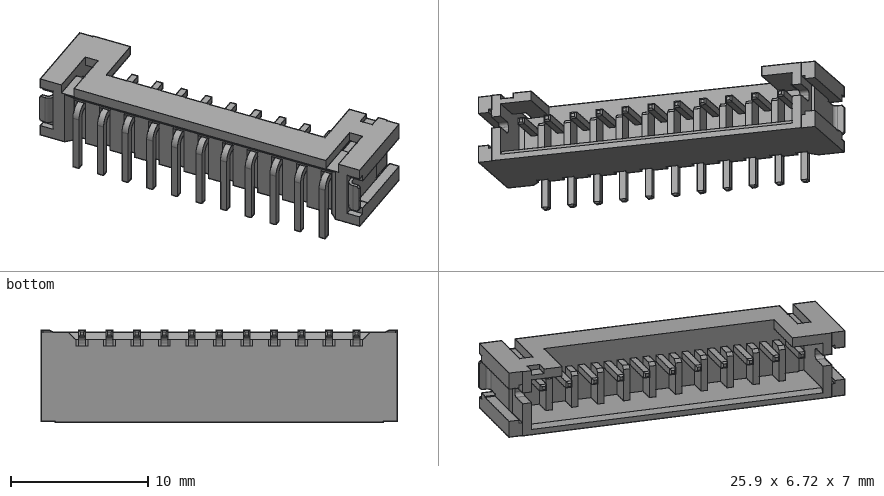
import cadquery as cq

HOUSING_LENGTH = 25.95
HOUSING_HEIGHT = 5.0
HOUSING_DEPTH = 6.56
FLANGE_DEPTH = 6.49
HALF_LENGTH = HOUSING_LENGTH / 2

PIN_COUNT = 11
PIN_PITCH = 2.0
PIN_SIZE = 0.5
PIN_TOP = 3.4
PIN_TIP_Y = 5.65
PIN_TIP_Z = -2.0
PIN_OVERHANG = 0.16
PIN_BEND_RADIUS = 0.95
PIN_TIP_CHAMFER = 0.13
PIN_XS = [(i - (PIN_COUNT - 1) / 2) * PIN_PITCH for i in range(PIN_COUNT)]

WALL = 0.72
CAVITY_BASE_Y = 2.59
CAVITY_HALF_LENGTH = 11.25
CAVITY_EDGE_CHAMFER = 0.3
ROOF_OPENING_HALF_LENGTH = 8.89
CORNER_RELIEF_LENGTH = 0.45
CORNER_RELIEF_DEPTH = 0.16

RIB_WIDTH = 0.5
RIB_END_Y = 4.0
RIB_CHAMFER = 0.24
RIB_TOP = PIN_TOP

RECESS_HALF_LENGTH = 11.0
RECESS_TOP = 4.23
RECESS_DEPTH = 0.52
PIN_SLOT_WIDTH = 0.86
PIN_SLOT_TOP = 3.55
PIN_SLOT_END_Y = 1.0

ROOF_SLOT_WIDTH = 1.03
ROOF_SLOT_LENGTH = 3.92
KEY_NOTCH_WIDTH = 0.97
KEY_NOTCH_LENGTH = 1.0
KEY_NOTCH_DEPTH = 0.35

CHANNEL_DEPTH = 1.03
CHANNEL_BOTTOM = 1.24
CHANNEL_TOP = 3.74
CHANNEL_MOUTH_BOTTOM = 0.83
CHANNEL_MOUTH_TOP = 4.22
CHANNEL_MOUTH_LENGTH = 0.48
CHANNEL_SILL_TOP = 1.32
CHANNEL_SILL_END_Y = 1.26
END_SLOT_BOTTOM = 2.5
END_SLOT_TOP = 3.34
END_SLOT_END_Y = 4.83
END_SLOT_RADIUS = 0.3

TAB_BOTTOM = 1.4
TAB_TOP = 3.58
TAB_THICKNESS = 0.25
TAB_BEND_RADIUS = 0.55
TAB_CORNER_CHAMFER = 0.15
TAB_PLATE_END_Y = 4.3
GROOVE_BOTTOM = 1.0
GROOVE_TOP = CHANNEL_TOP + CHANNEL_BOTTOM - GROOVE_BOTTOM


def box(x_range, y_range, z_range):
    """Axis-aligned box from its limits along X, Y and Z."""
    spans = (x_range, y_range, z_range)
    sizes = [high - low for low, high in spans]
    corner = [low for low, high in spans]
    return cq.Workplane("XY").box(*sizes, centered=False).translate(tuple(corner))


def both_ends(shape):
    """The shape together with its mirror image at the opposite end."""
    return shape.union(shape.mirror("YZ"))


def make_housing_block():
    flanges = box((-HALF_LENGTH, HALF_LENGTH), (0, FLANGE_DEPTH), (0, HOUSING_HEIGHT))
    core_half = HALF_LENGTH - CHANNEL_DEPTH
    core = box((-core_half, core_half), (0, HOUSING_DEPTH), (0, HOUSING_HEIGHT))
    return flanges.union(core)


def make_cavity():
    """Mating cavity, with a lead-in along the floor edge and an opening in the roof."""
    cavity = box(
        (-CAVITY_HALF_LENGTH, CAVITY_HALF_LENGTH),
        (CAVITY_BASE_Y, HOUSING_DEPTH),
        (WALL, HOUSING_HEIGHT - WALL),
    )
    opening = box(
        (-ROOF_OPENING_HALF_LENGTH, ROOF_OPENING_HALF_LENGTH),
        (CAVITY_BASE_Y, HOUSING_DEPTH),
        (WALL, HOUSING_HEIGHT),
    )
    corner_relief = box(
        (-CAVITY_HALF_LENGTH, -CAVITY_HALF_LENGTH + CORNER_RELIEF_LENGTH),
        (CAVITY_BASE_Y - CORNER_RELIEF_DEPTH, CAVITY_BASE_Y),
        (WALL, HOUSING_HEIGHT - WALL),
    )
    lead_in = (
        cq.Workplane("YZ")
        .moveTo(HOUSING_DEPTH - CAVITY_EDGE_CHAMFER, WALL)
        .lineTo(HOUSING_DEPTH, WALL)
        .lineTo(HOUSING_DEPTH, WALL - CAVITY_EDGE_CHAMFER)
        .close()
        .extrude(CAVITY_HALF_LENGTH, both=True)
    )
    return cavity.union(opening).union(both_ends(corner_relief)).union(lead_in)


def make_front_recess():
    """Recess open at the bottom, its top and ends sloping in at 45 degrees."""
    half_floor = RECESS_HALF_LENGTH - RECESS_DEPTH
    plan = (
        cq.Workplane("XY")
        .moveTo(-RECESS_HALF_LENGTH, 0)
        .lineTo(RECESS_HALF_LENGTH, 0)
        .lineTo(half_floor, RECESS_DEPTH)
        .lineTo(-half_floor, RECESS_DEPTH)
        .close()
        .extrude(RECESS_TOP)
    )
    profile = (
        cq.Workplane("YZ")
        .lineTo(RECESS_DEPTH, 0)
        .lineTo(RECESS_DEPTH, RECESS_TOP - RECESS_DEPTH)
        .lineTo(0, RECESS_TOP)
        .close()
        .extrude(RECESS_HALF_LENGTH, both=True)
    )
    return plan.intersect(profile)


def make_pin_slot(x):
    half = PIN_SLOT_WIDTH / 2
    return box((x - half, x + half), (0, PIN_SLOT_END_Y), (0, PIN_SLOT_TOP))


def make_roof_slots():
    slot = box(
        (-CAVITY_HALF_LENGTH, -CAVITY_HALF_LENGTH + ROOF_SLOT_WIDTH),
        (0, ROOF_SLOT_LENGTH),
        (HOUSING_HEIGHT - WALL, HOUSING_HEIGHT),
    )
    return both_ends(slot)


def make_key_notch():
    return box(
        (CAVITY_HALF_LENGTH - KEY_NOTCH_WIDTH, CAVITY_HALF_LENGTH),
        (HOUSING_DEPTH - KEY_NOTCH_LENGTH, HOUSING_DEPTH),
        (HOUSING_HEIGHT - KEY_NOTCH_DEPTH, HOUSING_HEIGHT),
    )


def make_end_channels():
    """Channels along both ends: a tall mouth at the front, a low sill, then a grooved run."""
    outer_x = -HALF_LENGTH
    wall_x = outer_x + CHANNEL_DEPTH
    full_depth = (outer_x, wall_x)
    run_y = (CHANNEL_SILL_END_Y, HOUSING_DEPTH)
    mouth = box(full_depth, (0, CHANNEL_MOUTH_LENGTH), (CHANNEL_MOUTH_BOTTOM, CHANNEL_MOUTH_TOP))
    over_sill = box(full_depth, (0, CHANNEL_SILL_END_Y), (CHANNEL_SILL_TOP, CHANNEL_TOP))
    run = box(full_depth, run_y, (CHANNEL_BOTTOM, CHANNEL_TOP))
    groove = box((wall_x - TAB_THICKNESS, wall_x), run_y, (GROOVE_BOTTOM, GROOVE_TOP))
    return both_ends(mouth.union(over_sill).union(run).union(groove))


def make_end_slots():
    """Round-ended slots from the mating side through both end walls."""
    slot = box(
        (-HALF_LENGTH, HALF_LENGTH),
        (END_SLOT_END_Y, HOUSING_DEPTH),
        (END_SLOT_BOTTOM, END_SLOT_TOP),
    )
    return slot.edges("|X and <Y").fillet(END_SLOT_RADIUS)


def make_rib(x):
    rib = box(
        (x - RIB_WIDTH / 2, x + RIB_WIDTH / 2),
        (CAVITY_BASE_Y, RIB_END_Y),
        (WALL, RIB_TOP),
    )
    return rib.edges(">Y and >Z").chamfer(RIB_CHAMFER)


def make_pin(x):
    """Square pin bent from the mating direction down towards the board."""
    front = -PIN_OVERHANG
    inner_radius = PIN_BEND_RADIUS - PIN_SIZE
    bend_y = front + PIN_BEND_RADIUS
    bend_z = PIN_TOP - PIN_BEND_RADIUS
    pin = (
        cq.Workplane("YZ", origin=(x, 0, 0))
        .moveTo(PIN_TIP_Y, PIN_TOP)
        .lineTo(bend_y, PIN_TOP)
        .radiusArc((front, bend_z), -PIN_BEND_RADIUS)
        .lineTo(front, PIN_TIP_Z)
        .lineTo(front + PIN_SIZE, PIN_TIP_Z)
        .lineTo(front + PIN_SIZE, bend_z)
        .radiusArc((bend_y, PIN_TOP - PIN_SIZE), inner_radius)
        .lineTo(PIN_TIP_Y, PIN_TOP - PIN_SIZE)
        .close()
        .extrude(PIN_SIZE / 2, both=True)
    )
    return pin.faces(">Y or <Z").chamfer(PIN_TIP_CHAMFER)


def make_tab():
    """Solder tab at the -X end: a plate filling the groove, and a foot bent outwards at the front."""
    wall_x = -HALF_LENGTH + CHANNEL_DEPTH
    front = -PIN_OVERHANG
    inner_radius = TAB_BEND_RADIUS - TAB_THICKNESS
    leg_x = wall_x - TAB_THICKNESS
    bend_x = wall_x - TAB_BEND_RADIUS
    bend_y = front + TAB_BEND_RADIUS
    foot = (
        cq.Workplane("XY", origin=(0, 0, TAB_BOTTOM))
        .moveTo(wall_x, CHANNEL_SILL_END_Y)
        .lineTo(wall_x, bend_y)
        .radiusArc((bend_x, front), TAB_BEND_RADIUS)
        .lineTo(-HALF_LENGTH, front)
        .lineTo(-HALF_LENGTH, front + TAB_THICKNESS)
        .lineTo(bend_x, front + TAB_THICKNESS)
        .radiusArc((leg_x, bend_y), -inner_radius)
        .lineTo(leg_x, CHANNEL_SILL_END_Y)
        .close()
        .extrude(TAB_TOP - TAB_BOTTOM)
        .edges("|Y and <X")
        .chamfer(TAB_CORNER_CHAMFER)
    )
    plate = box((leg_x, wall_x), (CHANNEL_SILL_END_Y, TAB_PLATE_END_Y), (GROOVE_BOTTOM, GROOVE_TOP))
    return foot.union(plate)


result = make_housing_block()
for cutter in (
    make_cavity(),
    make_front_recess(),
    make_roof_slots(),
    make_key_notch(),
    make_end_channels(),
    make_end_slots(),
):
    result = result.cut(cutter)
for pin_x in PIN_XS:
    result = result.cut(make_pin_slot(pin_x))
for pin_x in PIN_XS[:-1]:
    result = result.union(make_rib(pin_x + PIN_PITCH / 2))
for pin_x in PIN_XS:
    result = result.union(make_pin(pin_x))
result = result.union(both_ends(make_tab()))